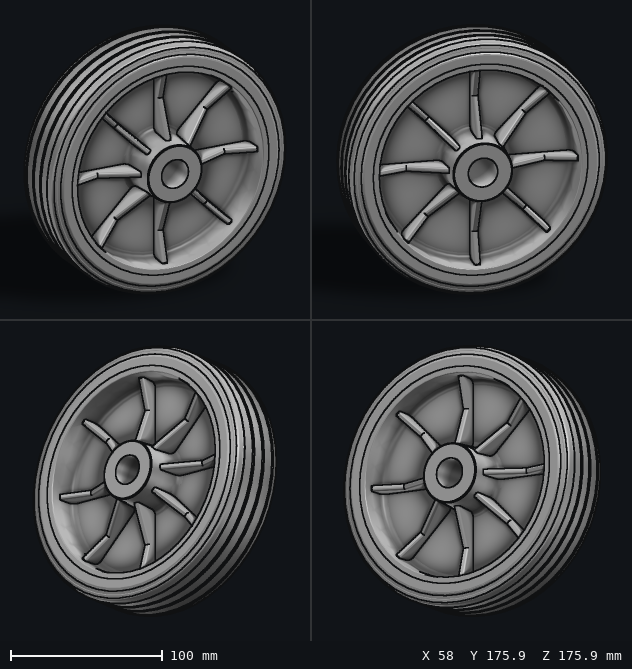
import cadquery as cq

tire_radius = 87.96
hub_half_length = 29.0
wheel_half_width = 22.5
bore_radius = 10.0

rim_radius = 73.0
hub_end_radius = 20.1
hub_root_radius = 22.0
hub_chamfer = 0.6
web_half_thickness = 2.0
ring_lip_radius = 68.7
ring_root_radius = 67.6
ring_lip_round = 0.7
web_fillet = 4.0

rib_count = 8
rib_thickness = 4.1
rib_edge_round = 1.6
rib_height_at_hub = 20.7
rib_height_at_dip = 9.0
rib_height_at_ring = 15.2
rib_dip_radius = 47.0
rib_inner_radius = 18.0
rib_outer_radius = 71.0

side_face_radius = 78.9
side_edge_half_width = 22.3
side_edge_radius = 79.8
wall_foot_half_width = 21.5
wall_foot_radius = 81.0
wall_top_half_width = 21.05
wall_top_radius = 83.3
shoulder_step_half_width = 20.75
shoulder_step_radius = 85.6
step_sagitta = 0.08
shoulder_half_width = 18.9
shoulder_radius = 87.15
shoulder_sagitta = 0.4

tread_radius = 87.5
ridge_count = 4
ridge_spacing = 10.15
ridge_half_width = 1.1

outer_ridge_position = ridge_spacing * (ridge_count - 1) / 2
tread_half_width = outer_ridge_position + ridge_half_width
step_middle_half_width = (wall_top_half_width + shoulder_step_half_width) / 2
step_middle_radius = (wall_top_radius + shoulder_step_radius) / 2


def revolve_about_x(outline):
    """Revolve a closed outline, drawn as (X, radius), about the X axis."""
    return outline.revolve(360, (0, 0, 0), (1, 0, 0))


def mirror_copy(body):
    """The same body on the opposite side of the wheel."""
    return body.mirror("YZ")


def make_pocket():
    """Ring-shaped space between hub and outer ring on the -X side, rounded at the web."""
    pocket = revolve_about_x(
        cq.Workplane("XY")
        .moveTo(-hub_half_length, hub_end_radius)
        .lineTo(-web_half_thickness, hub_root_radius)
        .lineTo(-web_half_thickness, ring_root_radius)
        .lineTo(-wheel_half_width + ring_lip_round, ring_lip_radius)
        .tangentArcPoint((-wheel_half_width, ring_lip_radius + ring_lip_round), relative=False)
        .lineTo(-wheel_half_width, rim_radius)
        .lineTo(-hub_half_length, rim_radius)
        .close()
    )
    return pocket.faces(">X").edges().fillet(web_fillet)


def make_rib():
    """Rib on the -X side, lying along +Y from the hub to the ring, with a rounded free edge."""
    rib = (
        cq.Workplane("XY")
        .workplane(offset=-rib_thickness / 2)
        .moveTo(0, rib_inner_radius)
        .lineTo(-rib_height_at_hub, rib_inner_radius)
        .lineTo(-rib_height_at_hub, hub_end_radius)
        .lineTo(-rib_height_at_dip, rib_dip_radius)
        .lineTo(-rib_height_at_ring, ring_root_radius)
        .lineTo(-rib_height_at_ring, rib_outer_radius)
        .lineTo(0, rib_outer_radius)
        .close()
        .extrude(rib_thickness)
    )
    sloping_edges = rib.edges("#Z").edges("not (|X or |Y)")
    return sloping_edges.fillet(rib_edge_round)


def make_rim():
    """Hub, web, outer ring and ribs as one solid."""
    rim = cq.Workplane("YZ").circle(rim_radius).extrude(hub_half_length, both=True)
    pocket = make_pocket()
    rim = rim.cut(pocket).cut(mirror_copy(pocket))
    rim = rim.faces("<X or >X").edges().chamfer(hub_chamfer)
    rim = rim.cut(cq.Workplane("YZ").circle(bore_radius).extrude(hub_half_length, both=True))

    rib = make_rib()
    for index in range(rib_count):
        turned_rib = rib.rotate((0, 0, 0), (1, 0, 0), index * 360 / rib_count)
        rim = rim.union(turned_rib).union(mirror_copy(turned_rib))
    return rim


def make_ridge(position):
    """Ring of triangular section, centred at X = position, standing on the tread."""
    return revolve_about_x(
        cq.Workplane("XY")
        .moveTo(position - ridge_half_width, rim_radius)
        .lineTo(position - ridge_half_width, tread_radius)
        .lineTo(position, tire_radius)
        .lineTo(position + ridge_half_width, tread_radius)
        .lineTo(position + ridge_half_width, rim_radius)
        .close()
    )


def make_tire():
    """Tire around the rim, flush with it on both sides, with ridges on the tread."""
    sidewall = revolve_about_x(
        cq.Workplane("XY")
        .moveTo(-tread_half_width, rim_radius)
        .lineTo(-wheel_half_width, rim_radius)
        .lineTo(-wheel_half_width, side_face_radius)
        .tangentArcPoint((-side_edge_half_width, side_edge_radius), relative=False)
        .lineTo(-wall_foot_half_width, wall_foot_radius)
        .lineTo(-wall_top_half_width, wall_top_radius)
        .sagittaArc((-step_middle_half_width, step_middle_radius), step_sagitta)
        .sagittaArc((-shoulder_step_half_width, shoulder_step_radius), -step_sagitta)
        .sagittaArc((-shoulder_half_width, shoulder_radius), shoulder_sagitta)
        .lineTo(-tread_half_width, tread_radius)
        .close()
    )
    tread = (
        cq.Workplane("YZ")
        .circle(tread_radius)
        .circle(rim_radius)
        .extrude(tread_half_width, both=True)
    )
    tire = tread.union(sidewall).union(mirror_copy(sidewall))
    for index in range(ridge_count):
        tire = tire.union(make_ridge(index * ridge_spacing - outer_ridge_position))
    return tire


rim = make_rim()
tire = make_tire()

result = cq.Compound.makeCompound([rim.val(), tire.val()])